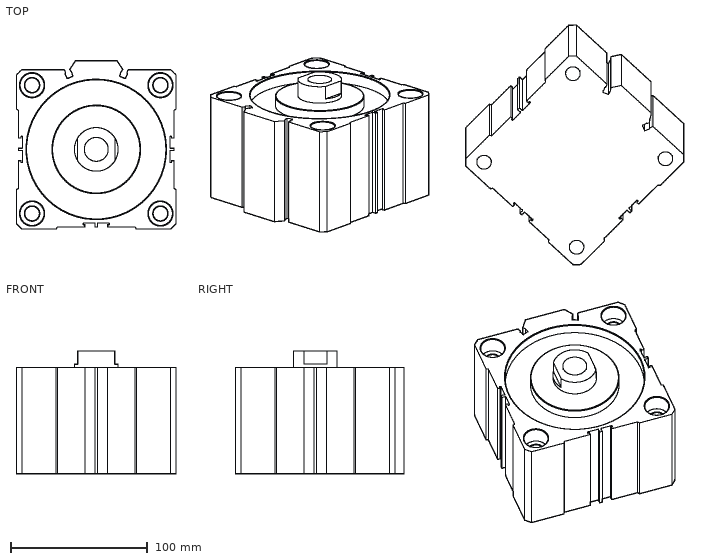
import cadquery as cq

body_width = 117.0
body_height = 78.0
rail_top_y = 65.02
corner_chamfer = 4.0
half_width = body_width / 2

recess_depth = 1.5
recess_half_outer = 29.4
recess_half_inner = 28.5
slot_depth = 3.0
slot_half_mouth = 8.3
slot_half_undercut = 9.5
undercut_height = 1.0
slot_rib_width = 2.0

rail_half_outline = [
    (15.2, rail_top_y),
    (19.5, 58.5),
    (18.2, 56.7),
    (17.2, 53.6),
    (21.2, 51.9),
    (22.8, 55.5),
    (22.4, 56.0),
    (23.0, 57.8),
    (23.5, half_width),
]

hole_spacing = 94.0
hole_diameter = 10.6
hole_chamfer = 0.4
counterbore_diameter = 17.5
counterbore_depth = 13.0
counterbore_chamfer = 0.5

top_bore_diameter = 102.0
top_bore_depth = 8.4
top_bore_chamfer = 0.5
guide_diameter = 65.0
guide_top_gap = 0.7
guide_chamfer = 0.5

rod_diameter = 32.0
rod_protrusion = 12.0
rod_length = 37.0
flats_width = 27.2
flats_height = 9.6
rod_bore_diameter = 17.5
rod_bore_depth = 24.7

bore_floor_z = body_height - top_bore_depth
guide_top_z = body_height - guide_top_gap
rod_top_z = body_height + rod_protrusion
rod_bottom_z = rod_top_z - rod_length


def cylinder(diameter, bottom_z, height):
    """Upright cylinder on the rod axis."""
    return cq.Workplane("XY", origin=(0, 0, bottom_z)).circle(diameter / 2).extrude(height)


def make_profile():
    """Square block with chamfered corners plus the dovetail rail and its grooves."""
    block = cq.Workplane("XY").rect(body_width, body_width).extrude(body_height)
    block = block.edges("|Z").chamfer(corner_chamfer)

    groove_end_x = rail_half_outline[-1][0]
    rail_root_y = top_bore_diameter / 2
    strip_depth = half_width - rail_root_y
    clearance = (
        cq.Workplane("XY")
        .center(0, rail_root_y + strip_depth / 2)
        .rect(2 * groove_end_x, strip_depth)
        .extrude(body_height)
    )
    mirrored_outline = [(-x, y) for x, y in reversed(rail_half_outline)]
    root_corners = [(groove_end_x, rail_root_y), (-groove_end_x, rail_root_y)]
    rail = (
        cq.Workplane("XY")
        .polyline(root_corners + mirrored_outline + rail_half_outline)
        .close()
        .extrude(body_height)
    )
    return block.cut(clearance).union(rail)


def side_slot_cutter():
    """Recess with a twin T-slot, shaped for the -Y face."""
    face_y = -half_width
    recess_y = face_y + recess_depth
    slot_y = recess_y + slot_depth
    undercut_y = slot_y - undercut_height
    recess = (
        cq.Workplane("XY")
        .polyline([
            (-recess_half_outer, face_y),
            (recess_half_outer, face_y),
            (recess_half_inner, recess_y),
            (-recess_half_inner, recess_y),
        ])
        .close()
        .extrude(body_height)
    )
    half_slot = (
        cq.Workplane("XY")
        .polyline([
            (slot_rib_width / 2, recess_y),
            (slot_half_mouth, recess_y),
            (slot_half_mouth, undercut_y),
            (slot_half_undercut, undercut_y),
            (slot_half_undercut, slot_y),
            (slot_rib_width / 2, slot_y),
        ])
        .close()
        .extrude(body_height)
    )
    return recess.union(half_slot).union(half_slot.mirror("YZ"))


def make_guide():
    """Round rod guide rising from the floor of the top recess."""
    guide = cylinder(guide_diameter, bore_floor_z, guide_top_z - bore_floor_z)
    return guide.faces(">Z").chamfer(guide_chamfer)


def chamfered_bore(diameter, depth, chamfer, mouth_z=body_height):
    """Cutter for a flat-bottomed bore going down from mouth_z, flared at its mouth."""
    bore = cylinder(diameter, mouth_z - depth, depth)
    flare = (
        cq.Workplane("XY", origin=(0, 0, mouth_z - chamfer))
        .circle(diameter / 2)
        .workplane(offset=chamfer)
        .circle(diameter / 2 + chamfer)
        .loft()
    )
    return bore.union(flare)


def make_housing():
    housing = make_profile()
    for angle in (0, 90, -90):
        housing = housing.cut(side_slot_cutter().rotate((0, 0, 0), (0, 0, 1), angle))

    counterbore = chamfered_bore(counterbore_diameter, counterbore_depth, counterbore_chamfer)
    ledge_z = body_height - counterbore_depth
    through_hole = chamfered_bore(hole_diameter, ledge_z, hole_chamfer, ledge_z)
    mounting_hole = counterbore.union(through_hole)
    for x_side in (-1, 1):
        for y_side in (-1, 1):
            offset = (x_side * hole_spacing / 2, y_side * hole_spacing / 2, 0)
            housing = housing.cut(mounting_hole.translate(offset))

    housing = housing.cut(chamfered_bore(top_bore_diameter, top_bore_depth, top_bore_chamfer))
    housing = housing.union(make_guide())
    return housing.cut(cylinder(rod_diameter, rod_bottom_z, rod_length))


def make_rod():
    """Piston rod with two wrench flats facing -X and +X and a blind end bore."""
    rod = cylinder(rod_diameter, rod_bottom_z, rod_length)
    flats_z = rod_top_z - flats_height
    flats_section = (
        cq.Workplane("XY", origin=(0, 0, flats_z)).rect(flats_width, rod_diameter).extrude(flats_height)
    )
    rod = rod.cut(cylinder(rod_diameter, flats_z, flats_height).cut(flats_section))
    return rod.cut(cylinder(rod_bore_diameter, rod_top_z - rod_bore_depth, rod_bore_depth))


housing = make_housing()
rod = make_rod()

result = cq.Compound.makeCompound([housing.solids().val(), rod.solids().val()])